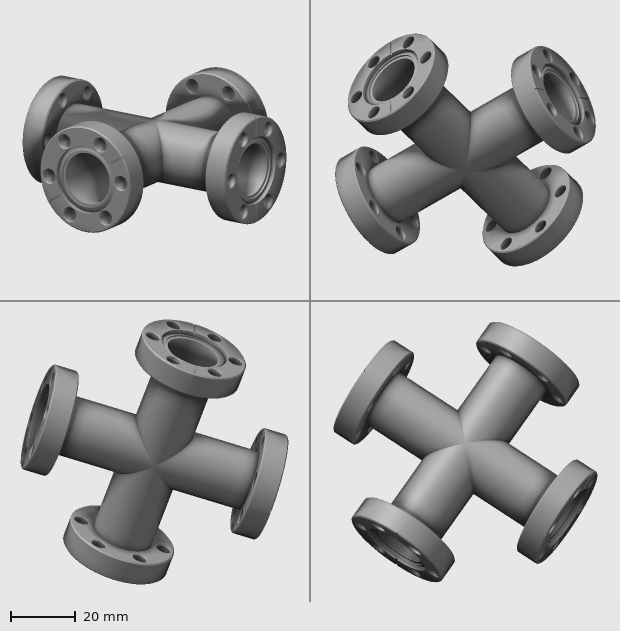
import cadquery as cq
import math

SPAN = 76.2
ARM_LENGTH = SPAN / 2
QUARTER_TURN = 90

TUBE_OUTER_DIAMETER = 19.05
BORE_DIAMETER = 16.45

FLANGE_DIAMETER = 34.0
FLANGE_THICKNESS = 7.6
FLANGE_CHAMFER = 0.4
SOCKET_DEPTH = 3.0

BOLT_COUNT = 6
BOLT_STEP = 360 / BOLT_COUNT
BOLT_CIRCLE_DIAMETER = 27.0
BOLT_HOLE_DIAMETER = 4.4
BOLT_HOLE_CHAMFER = 0.2
FIXED_FLANGE_TURN = 5.0
RING_TURN = BOLT_STEP

RECESS_DIAMETER = 21.5
RECESS_DEPTH = 1.45
KNIFE_DIAMETER = 18.3
KNIFE_SLOPE_ANGLE = 20.0
KNIFE_RUN = (RECESS_DIAMETER - KNIFE_DIAMETER) / 2
KNIFE_HEIGHT = KNIFE_RUN * math.tan(math.radians(KNIFE_SLOPE_ANGLE))

GROOVE_WIDTH = 0.6
GROOVE_DEPTH = 0.4
GROOVE_ANGLE = BOLT_STEP / 2

RING_CLEARANCE = 0.2
INSERT_DIAMETER = RECESS_DIAMETER

FACE = ARM_LENGTH
BACK = FACE - FLANGE_THICKNESS
TUBE_END = BACK + SOCKET_DEPTH
RECESS_FLOOR = FACE - RECESS_DEPTH
KNIFE_TIP = RECESS_FLOOR + KNIFE_HEIGHT


def turn_about_z(body, angle):
    return body.rotate((0, 0, 0), (0, 0, 1), angle)


def turn_about_arm(body, angle):
    """Turn a body on the -Y arm, counter-clockwise as seen from its outer face."""
    return body.rotate((0, 0, 0), (0, 1, 0), -angle)


def arm_cylinder(diameter, start, end):
    """Cylinder on the -Y arm between two distances from the origin."""
    return cq.Workplane("XZ").workplane(offset=start).circle(diameter / 2).extrude(end - start)


def make_tube_cross():
    outside = arm_cylinder(TUBE_OUTER_DIAMETER, -TUBE_END, TUBE_END)
    bore = arm_cylinder(BORE_DIAMETER, -TUBE_END, TUBE_END)
    cross = outside.union(turn_about_z(outside, QUARTER_TURN))
    return cross.cut(bore).cut(turn_about_z(bore, QUARTER_TURN))


def make_bolt_plate():
    """Chamfered disc with its bolt holes, the first one on the +X side."""
    plate = arm_cylinder(FLANGE_DIAMETER, BACK, FACE).edges().chamfer(FLANGE_CHAMFER)
    holes = (
        cq.Workplane("XZ")
        .workplane(offset=BACK)
        .polarArray(BOLT_CIRCLE_DIAMETER / 2, 0, 360, BOLT_COUNT)
        .circle(BOLT_HOLE_DIAMETER / 2)
        .extrude(FLANGE_THICKNESS)
    )
    plate = plate.cut(holes)
    return plate.edges(cq.selectors.RadiusNthSelector(0)).chamfer(BOLT_HOLE_CHAMFER)


def make_grooves():
    """Bar across the face; the recess leaves one groove of it on each side."""
    bar = (
        cq.Workplane("XZ")
        .workplane(offset=FACE - GROOVE_DEPTH)
        .rect(2 * FLANGE_DIAMETER, GROOVE_WIDTH)
        .extrude(2 * GROOVE_DEPTH)
    )
    return turn_about_arm(bar, GROOVE_ANGLE)


def make_opening():
    """Everything hollow on the axis: recess, knife edge, bore and tube socket."""
    outline = [
        (0, FACE),
        (RECESS_DIAMETER / 2, FACE),
        (RECESS_DIAMETER / 2, RECESS_FLOOR),
        (KNIFE_DIAMETER / 2, KNIFE_TIP),
        (KNIFE_DIAMETER / 2, RECESS_FLOOR),
        (BORE_DIAMETER / 2, RECESS_FLOOR),
        (BORE_DIAMETER / 2, TUBE_END),
        (TUBE_OUTER_DIAMETER / 2, TUBE_END),
        (TUBE_OUTER_DIAMETER / 2, BACK),
        (0, BACK),
    ]
    points = [(radius, -distance) for radius, distance in outline]
    return cq.Workplane("XY").polyline(points).close().revolve(360, (0, 0, 0), (0, 1, 0))


def make_fixed_flange():
    flange = make_bolt_plate().cut(make_opening()).cut(make_grooves())
    return turn_about_arm(flange, FIXED_FLANGE_TURN)


def make_insert():
    """Inner part of a rotatable flange, carrying the knife edge and the tube socket."""
    return arm_cylinder(INSERT_DIAMETER, TUBE_END, KNIFE_TIP).cut(make_opening())


def make_ring():
    """Bolt ring of a rotatable flange, clear of the tube and resting on the insert."""
    tube_hole = arm_cylinder(TUBE_OUTER_DIAMETER + 2 * RING_CLEARANCE, BACK, FACE)
    insert_seat = arm_cylinder(INSERT_DIAMETER, TUBE_END, FACE)
    ring = make_bolt_plate().cut(tube_hole).cut(insert_seat).cut(make_grooves())
    return turn_about_arm(ring, RING_TURN)


FIXED_ARMS = (0, 3)
ROTATABLE_ARMS = (1, 2)

tube_cross = make_tube_cross()
fixed_flange = make_fixed_flange()
ring = make_ring()
insert = make_insert()

fixed_flanges = [turn_about_z(fixed_flange, arm * QUARTER_TURN).val() for arm in FIXED_ARMS]
rings = [turn_about_z(ring, arm * QUARTER_TURN).val() for arm in ROTATABLE_ARMS]
inserts = [turn_about_z(insert, arm * QUARTER_TURN).val() for arm in ROTATABLE_ARMS]

result = cq.Compound.makeCompound([tube_cross.val(), *fixed_flanges, *rings, *inserts])